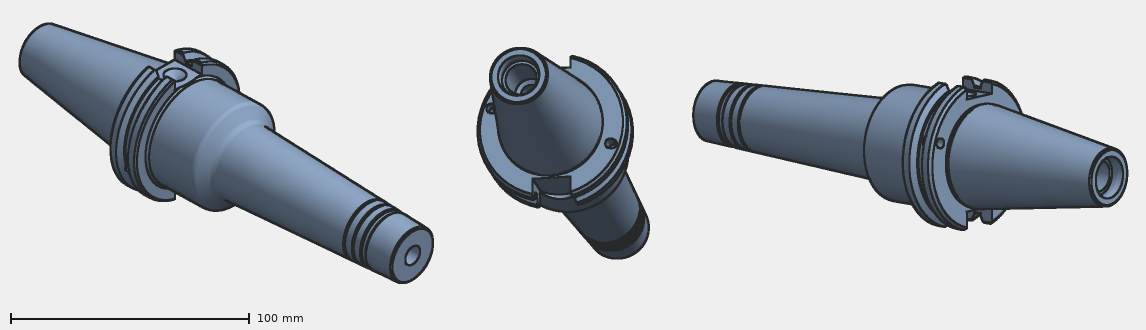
import cadquery as cq
import math

LENGTH = 218.2

GAUGE_X = 68.3
GAUGE_R = 22.3
TAPER_SLOPE = 7 / 48
SHANK_END_R = GAUGE_R - GAUGE_X * TAPER_SLOPE
SHANK_CHAMFER = 0.7
RELIEF_X = 69.8
RELIEF_R = 21.8

FLANGE_X = 71.4
FLANGE_END_X = 87.3
FLANGE_R = 31.9
FRONT_CHAMFER = 1.3
REAR_CHAMFER = 0.9
GROOVE_X = 79.5
GROOVE_FLOOR_R = 28.0
GROOVE_WALL_R = 28.8
GROOVE_FLOOR_HALF = 1.7
GROOVE_MOUTH_HALF = 3.5

BODY_D = 49.5
BODY_R = BODY_D / 2
NECK_CHAMFER = 1.0
BODY_END_X = 114.0
BODY_END_FILLET = 2.2
NOSE_X = 119.0
NOSE_FILLET = 2.8

NOSE_R = 17.7
NOSE_END_R = 12.9
NOSE_SLOPE = (NOSE_R - NOSE_END_R) / (LENGTH - NOSE_X)
NOSE_CHAMFER = 0.7
MARK_DEPTH = 0.5
MARK_WIDTH = 0.7
MARK_STARTS = (191.5, 196.2)
WIDE_MARK_START = 200.8
WIDE_MARK_END = 204.0
WIDE_MARK_BEVEL = 0.7

SLOT_WIDTH = 16.2
SLOT_END_X = 95.0
SLOT_EDGE_CHAMFER = 0.9
TOP_SLOT_Z = 25.3
BOTTOM_SLOT_Z = 22.7
DIMPLE_D = 9.5

BORE_D = 9.0
COUNTERBORE_D = 16.4
COUNTERBORE_DEPTH = 5.5
COUNTERSINK_D = 17.7
COUNTERSINK_DEPTH = 2.6
PILOT_D = 13.3
PILOT_DEPTH = 26.2

COOLANT_D = 4.1
COOLANT_R = 26.6
COOLANT_END_X = 81.0
OUTLET_D = 4.0
OUTLET_R = 27.5
COOLANT_ANGLE = 20.0

DRILL_POINT_ANGLE = 118.0


def nose_radius(x):
    """Radius of the nose cone at station x."""
    return NOSE_R - (x - NOSE_X) * NOSE_SLOPE


def revolve(points):
    """Solid of revolution about X from (x, radius) points."""
    return cq.Workplane("XY").polyline(points).close().revolve(360, (0, 0, 0), (1, 0, 0))


def make_shank():
    """Taper up to the gauge line, then the relief in front of the flange."""
    return revolve([
        (0, 0),
        (0, SHANK_END_R - SHANK_CHAMFER),
        (SHANK_CHAMFER, SHANK_END_R + SHANK_CHAMFER * TAPER_SLOPE),
        (GAUGE_X, GAUGE_R),
        (RELIEF_X, GAUGE_R),
        (RELIEF_X, RELIEF_R),
        (FLANGE_X, RELIEF_R),
        (FLANGE_X, 0),
    ])


def make_flange():
    """Chamfered flange with a V groove that has short upright walls at its floor."""
    return revolve([
        (FLANGE_X, 0),
        (FLANGE_X, FLANGE_R - FRONT_CHAMFER),
        (FLANGE_X + FRONT_CHAMFER, FLANGE_R),
        (GROOVE_X - GROOVE_MOUTH_HALF, FLANGE_R),
        (GROOVE_X - GROOVE_FLOOR_HALF, GROOVE_WALL_R),
        (GROOVE_X - GROOVE_FLOOR_HALF, GROOVE_FLOOR_R),
        (GROOVE_X + GROOVE_FLOOR_HALF, GROOVE_FLOOR_R),
        (GROOVE_X + GROOVE_FLOOR_HALF, GROOVE_WALL_R),
        (GROOVE_X + GROOVE_MOUTH_HALF, FLANGE_R),
        (FLANGE_END_X - REAR_CHAMFER, FLANGE_R),
        (FLANGE_END_X, FLANGE_R - REAR_CHAMFER),
        (FLANGE_END_X, 0),
    ])


def ring_edges(part, x):
    """Circular edges of part lying in the plane at station x."""
    tolerance = 0.02
    return part.edges(cq.selectors.BoxSelector(
        (x - tolerance, -FLANGE_R, -FLANGE_R), (x + tolerance, FLANGE_R, FLANGE_R)))


def make_body():
    """Cylindrical body, filleted shoulder and nose cone."""
    body = revolve([
        (FLANGE_END_X, 0),
        (FLANGE_END_X, BODY_R + NECK_CHAMFER),
        (FLANGE_END_X + NECK_CHAMFER, BODY_R),
        (BODY_END_X, BODY_R),
        (NOSE_X, NOSE_R),
        (LENGTH - NOSE_CHAMFER, nose_radius(LENGTH - NOSE_CHAMFER)),
        (LENGTH, NOSE_END_R - NOSE_CHAMFER),
        (LENGTH, 0),
    ])
    body = ring_edges(body, BODY_END_X).fillet(BODY_END_FILLET)
    return ring_edges(body, NOSE_X).fillet(NOSE_FILLET)


def make_mark(start, end, bevel=0.0):
    """Ring that cuts a shallow groove into the nose cone, each side leaning in by bevel."""
    floor_start = start + bevel
    floor_end = end - bevel
    return revolve([
        (start, nose_radius(start)),
        (start, NOSE_R),
        (end, NOSE_R),
        (end, nose_radius(end)),
        (floor_end, nose_radius(floor_end) - MARK_DEPTH),
        (floor_start, nose_radius(floor_start) - MARK_DEPTH),
    ])


def make_slot(floor_z, side):
    """Drive slot with a round end; side is 1 for the top and -1 for the bottom."""
    end_centre_x = SLOT_END_X - SLOT_WIDTH / 2
    slot_length = end_centre_x - FLANGE_X
    slot = (
        cq.Workplane("XY", origin=(FLANGE_X, 0, side * floor_z))
        .center(slot_length / 2, 0)
        .rect(slot_length, SLOT_WIDTH)
        .extrude(side * FLANGE_R)
    )
    round_end = (
        cq.Workplane("XY", origin=(end_centre_x, 0, side * floor_z))
        .circle(SLOT_WIDTH / 2)
        .extrude(side * FLANGE_R)
    )
    return slot.union(round_end)


def make_slot_flare(side):
    """Widening prism that breaks the long slot edges on the rim of the flange."""
    half_width = SLOT_WIDTH / 2
    rim_z = math.sqrt(FLANGE_R ** 2 - half_width ** 2)
    base_z = side * (rim_z - SLOT_EDGE_CHAMFER)
    top_z = side * (rim_z + SLOT_EDGE_CHAMFER)
    top_half_width = half_width + 2 * SLOT_EDGE_CHAMFER
    return (
        cq.Workplane("YZ", origin=(FLANGE_X, 0, 0))
        .polyline([
            (-half_width, base_z),
            (half_width, base_z),
            (top_half_width, top_z),
            (-top_half_width, top_z),
        ])
        .close()
        .extrude(FLANGE_END_X - FLANGE_X)
    )


def drill_point(diameter):
    """Height of the drill point of a hole of this diameter."""
    return diameter / 2 / math.tan(math.radians(DRILL_POINT_ANGLE / 2))


def make_dimple():
    """Cone that opens at the top slot floor."""
    cone = cq.Solid.makeCone(
        0, DIMPLE_D / 2, drill_point(DIMPLE_D),
        cq.Vector(GROOVE_X, 0, TOP_SLOT_Z - drill_point(DIMPLE_D)), cq.Vector(0, 0, 1))
    return cq.Workplane(cone)


def make_bore():
    """Stepped bore: countersink, counterbore, pilot with drill point, through hole."""
    point_depth = drill_point(PILOT_D) * (1 - BORE_D / PILOT_D)
    return revolve([
        (0, 0),
        (0, COUNTERSINK_D / 2),
        (COUNTERSINK_DEPTH, COUNTERBORE_D / 2),
        (COUNTERBORE_DEPTH, COUNTERBORE_D / 2),
        (COUNTERBORE_DEPTH, PILOT_D / 2),
        (PILOT_DEPTH, PILOT_D / 2),
        (PILOT_DEPTH + point_depth, BORE_D / 2),
        (LENGTH, BORE_D / 2),
        (LENGTH, 0),
    ])


def place_in_flange(hole, radius, angle):
    """Move a hole on the X axis out to a radius, at an angle from +Y towards +Z."""
    y = radius * math.cos(math.radians(angle))
    z = radius * math.sin(math.radians(angle))
    return hole.translate((0, y, z))


def make_coolant_hole(angle):
    """Deep hole ending in a drill point, joined with the outlet that opens into the V groove."""
    deep_hole = revolve([
        (FLANGE_X, 0),
        (FLANGE_X, COOLANT_D / 2),
        (COOLANT_END_X - drill_point(COOLANT_D), COOLANT_D / 2),
        (COOLANT_END_X, 0),
    ])
    outlet = revolve([
        (FLANGE_X, 0),
        (FLANGE_X, OUTLET_D / 2),
        (GROOVE_X, OUTLET_D / 2),
        (GROOVE_X, 0),
    ])
    deep_hole = place_in_flange(deep_hole, COOLANT_R, angle)
    return deep_hole.union(place_in_flange(outlet, OUTLET_R, angle))


result = make_shank().union(make_flange()).union(make_body())
for mark_start in MARK_STARTS:
    result = result.cut(make_mark(mark_start, mark_start + MARK_WIDTH))
result = result.cut(make_mark(WIDE_MARK_START, WIDE_MARK_END, WIDE_MARK_BEVEL))
for slot_z, slot_side in ((TOP_SLOT_Z, 1), (BOTTOM_SLOT_Z, -1)):
    result = result.cut(make_slot(slot_z, slot_side))
    result = result.cut(make_slot_flare(slot_side))
result = result.cut(make_dimple())
result = result.cut(make_bore())
for hole_angle in (COOLANT_ANGLE, COOLANT_ANGLE + 180):
    result = result.cut(make_coolant_hole(hole_angle))